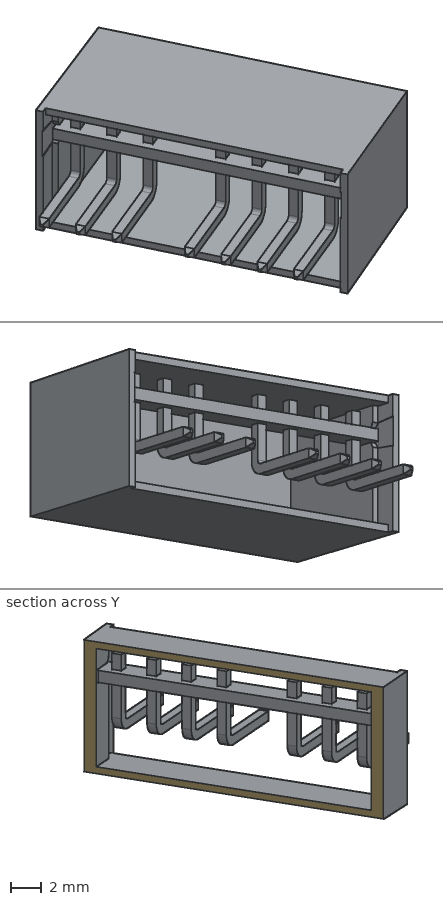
import cadquery as cq
import math

width = 21.8
height = 9.2
depth = 11.07
draft_angle = 0.55
wall = 0.5
edge_setback = 0.48
shoulder_y = 1.61
shoulder_step = 0.44

bar_length = 20.54
bar_height = 0.83
bar_z = 2.1
bar_front_y = 1.4

slot_z = 2.11
slot_clearance = 0.07
slot_mouth_depth = 0.055
slot_mouth_height = 1.96
slot_shoulder_height = 1.68
funnel_depth = 0.22

pin_positions = 8
empty_position = 3
pin_row_span = 17.79
pin_thickness = 0.68
pin_top_z = 3.62
pin_bottom_z = -1.77
pin_front_y = 1.98
pin_tip_y = -4.12
tip_length = 0.45
tip_width = 0.2
inner_bend_radius = 0.3

draft_slope = math.tan(math.radians(draft_angle))
inner_width = width - 2 * wall
inner_height = height - 2 * wall
cavity_depth = depth - wall
pitch = pin_row_span / (pin_positions - 1)
pin_tail_z = pin_bottom_z + pin_thickness / 2
pin_center_y = pin_front_y + pin_thickness / 2
bar_depth = 2 * (pin_center_y - bar_front_y)
bar_back_y = bar_front_y + bar_depth
pin_xs = [
    i * pitch - pin_row_span / 2
    for i in range(pin_positions)
    if i != empty_position
]


def block(x_size, z_size, y_start, y_end, z_center=0.0):
    """Box centred on X, from y_start to y_end."""
    length = y_end - y_start
    center = (0, y_start + length / 2, z_center)
    return cq.Workplane("XY").box(x_size, length, z_size).translate(center)


def frustum(front_size, back_size, y_start, y_end, z_center=0.0):
    """Rectangular section blended from front_size to back_size, each given as (X, Z)."""
    return (
        cq.Workplane("XZ", origin=(0, y_start, z_center))
        .rect(*front_size)
        .workplane(offset=y_start - y_end)
        .rect(*back_size)
        .loft(ruled=True)
    )


def drafted_block(x_size, z_size, y_start, y_end):
    """Block that narrows by the draft angle on all four sides towards +Y."""
    shrink = 2 * draft_slope * (y_end - y_start)
    return frustum((x_size, z_size), (x_size - shrink, z_size - shrink), y_start, y_end)


def make_bar_slot():
    """Space for the bar: a slightly converging mouth, a steep funnel and a straight slot."""
    mouth = (inner_width + 2 * slot_mouth_depth, slot_mouth_height)
    shoulder = (inner_width, slot_shoulder_height)
    slot = (bar_length + 2 * slot_clearance, bar_height + 2 * slot_clearance)
    funnel_end_y = shoulder_y + funnel_depth
    return (
        frustum(mouth, shoulder, 0, shoulder_y, slot_z)
        .union(frustum(shoulder, slot, shoulder_y, funnel_end_y, slot_z))
        .union(block(*slot, funnel_end_y, bar_back_y, slot_z))
    )


def make_housing():
    """Box open at the front, with shoulders inside and a slot for the bar."""
    shell = drafted_block(width, height, 0, depth)
    cavity = drafted_block(inner_width, inner_height, 0, cavity_depth)
    shoulder_width = inner_width - 2 * shoulder_step
    shoulders = block(width, height, shoulder_y, depth).cut(
        drafted_block(shoulder_width, height, shoulder_y, depth)
    )
    setback = drafted_block(inner_width, height + wall, 0, edge_setback)
    return shell.cut(cavity.cut(shoulders)).cut(setback).cut(make_bar_slot())


def make_bar():
    """Bar with a square through hole for each pin."""
    bar = block(bar_length, bar_height, bar_front_y, bar_back_y, bar_z)
    pin_holes = (
        cq.Workplane("XY", origin=(0, pin_center_y, bar_z))
        .pushPoints([(x, 0) for x in pin_xs])
        .rect(pin_thickness, pin_thickness)
        .extrude(bar_height, both=True)
    )
    return bar.cut(pin_holes)


def make_pin(x):
    """Upright leg bent into a tail that points to -Y and ends in a tapered tip."""
    back_y = pin_front_y + pin_thickness
    tail_top_z = pin_bottom_z + pin_thickness
    tip_start_y = pin_tip_y + tip_length
    bent_bar = (
        cq.Workplane("YZ")
        .moveTo(tip_start_y, pin_bottom_z)
        .lineTo(back_y, pin_bottom_z)
        .lineTo(back_y, pin_top_z)
        .lineTo(pin_front_y, pin_top_z)
        .lineTo(pin_front_y, tail_top_z)
        .lineTo(tip_start_y, tail_top_z)
        .close()
        .extrude(pin_thickness / 2, both=True)
    )
    inner_corner = cq.selectors.NearestToPointSelector((0, pin_front_y, tail_top_z))
    outer_corner = cq.selectors.NearestToPointSelector((0, back_y, pin_bottom_z))
    bent_bar = bent_bar.edges("|X").edges(inner_corner).fillet(inner_bend_radius)
    bent_bar = bent_bar.edges("|X").edges(outer_corner).fillet(inner_bend_radius + pin_thickness)
    tip = frustum(
        (tip_width, tip_width),
        (pin_thickness, pin_thickness),
        pin_tip_y,
        tip_start_y,
        pin_tail_z,
    )
    return bent_bar.union(tip).translate((x, 0, 0))


housing = make_housing()
bar = make_bar()
pins = [make_pin(x) for x in pin_xs]

result = cq.Compound.makeCompound([housing.val(), bar.val(), *[pin.val() for pin in pins]])